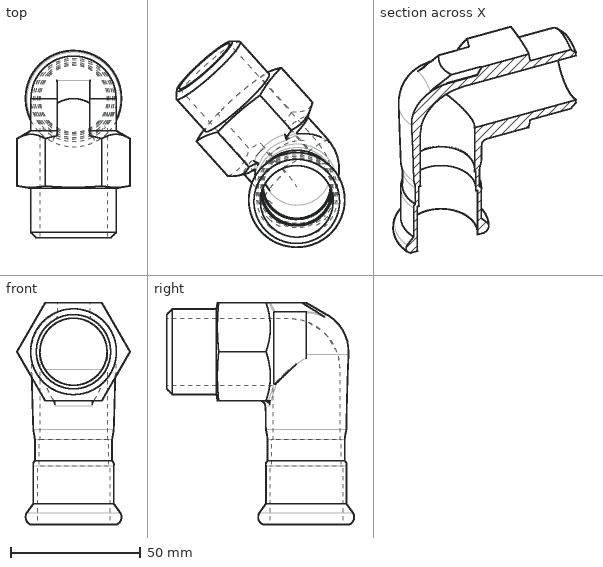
import math
import cadquery as cq


body_radius = 33.0 / 2
hex_across_flats = 38.0
hex_start = 12.4
hex_end = 34.8
spigot_end = 54.0
spigot_radius = 33.25 / 2
spigot_tip_radius = 28.8 / 2
bore_radius = 26.0 / 2
hex_back_chamfer_angle = math.radians(30.0)
hex_front_chamfer_angle = math.radians(10.0)

rib_width = 12.5
rib_nose_angle = math.radians(30.0)
root_fillet = 0.5
hex_bottom_fillet = 2.0

body_top_z = -1.04
body_bottom_z = -30.1
neck_top_z = -34.0
ring_top_z = -42.3
socket_top_z = -44.1
step_arc_inset = 0.2
step_arc_rise = 1.3
bead_top_z = -58.9
bead_crown_z = -62.3
bottom_z = -67.0
body_bottom_radius = 31.3 / 2
neck_radius = 30.0 / 2
socket_radius = 31.3 / 2
bead_radius = 37.28 / 2
bead_shoulder_radius = 18.1
bead_widest_z = -64.2
bead_foot_radius = 16.6
neck_bore_radius = 27.0 / 2
socket_bore_radius = 28.2 / 2
bore_bend_offset = 6.75

trim_margin = 5.0
pick_margin = 0.5

hex_flat_radius = hex_across_flats / 2
hex_corner_radius = hex_flat_radius / math.cos(math.pi / 6)
body_top_radius = math.sqrt(body_radius**2 - body_top_z**2)
hex_flat_back = hex_start + (hex_flat_radius - body_radius) * math.tan(hex_back_chamfer_angle)
rib_nose_y = hex_flat_radius * math.sin(rib_nose_angle) * math.cos(rib_nose_angle)
trim_radius = hex_corner_radius + trim_margin


def y_rod(radius, start, end):
    """Cylinder about the Y axis between two distances toward -Y."""
    rod = cq.Workplane("XZ").workplane(offset=start).circle(radius)
    return rod.extrude(end - start)


def z_rod(radius, bottom, top):
    """Cylinder about the Z axis."""
    return cq.Workplane("XY").workplane(offset=bottom).circle(radius).extrude(top - bottom)


def y_turned(points):
    """Solid turned about the Y axis from (radius, distance toward -Y) points."""
    profile = cq.Workplane("XY").polyline([(radius, -distance) for radius, distance in points])
    return profile.close().revolve(360, (0, 0, 0), (0, 1, 0))


def make_vertical_body():
    """Tapered cast body below the elbow dome."""
    profile = cq.Workplane("XZ").polyline([
        (0, 0),
        (body_radius, 0),
        (body_top_radius, body_top_z),
        (body_bottom_radius, body_bottom_z),
        (0, body_bottom_z),
    ])
    return profile.close().revolve(360, (0, 0, 0), (0, 1, 0))


def make_press_socket():
    """Neck, step ring, socket wall and rolled bead at the lower end."""
    profile = (
        cq.Workplane("XZ")
        .moveTo(0, body_bottom_z)
        .lineTo(body_bottom_radius, body_bottom_z)
        .lineTo(neck_radius, neck_top_z)
        .lineTo(neck_radius, ring_top_z)
        .threePointArc(
            (socket_radius - step_arc_inset, socket_top_z + step_arc_rise),
            (socket_radius, socket_top_z),
        )
        .lineTo(socket_radius, bead_top_z)
        .lineTo(bead_shoulder_radius, bead_crown_z)
        .threePointArc((bead_radius, bead_widest_z), (bead_foot_radius, bottom_z))
        .lineTo(0, bottom_z)
        .close()
    )
    return profile.revolve(360, (0, 0, 0), (0, 1, 0))


def make_hexagon():
    """Hexagon with a turned chamfer at each end."""
    hexagon = (
        cq.Workplane("XZ")
        .workplane(offset=hex_start)
        .polygon(6, 2 * hex_corner_radius)
        .extrude(hex_end - hex_start)
    )
    back_rise = (trim_radius - body_radius) * math.tan(hex_back_chamfer_angle)
    front_drop = (trim_radius - spigot_radius) * math.tan(hex_front_chamfer_angle)
    return hexagon.intersect(y_turned([
        (0, hex_start),
        (body_radius, hex_start),
        (trim_radius, hex_start + back_rise),
        (trim_radius, hex_end - front_drop),
        (spigot_radius, hex_end),
        (0, hex_end),
    ]))


def make_rib():
    """Rib continuing the top flat of the hexagon, with a conical nose over the dome."""
    rib_start = -(hex_start + hex_end) / 2
    rib = cq.Workplane("XY", origin=(0, rib_start, 0)).box(
        rib_width, rib_nose_y - rib_start, hex_flat_radius, centered=(True, False, False)
    )
    nose_length = hex_flat_radius / math.tan(rib_nose_angle)
    nose_setback = (trim_radius - hex_flat_radius) / math.tan(rib_nose_angle)
    return rib.intersect(y_turned([
        (0, -nose_length),
        (trim_radius, nose_setback),
        (trim_radius, hex_end),
        (0, hex_end),
    ]))


def make_spigot():
    """Spigot with a 45 degree lead chamfer."""
    tip_chamfer = spigot_radius - spigot_tip_radius
    return y_rod(spigot_radius, 0, spigot_end).faces("<Y").chamfer(tip_chamfer)


def make_bores():
    """Two straight bores joined by a rounded bend, stepped wider at the neck and socket."""
    bend_half_chord = math.sqrt(bore_radius**2 - bore_bend_offset**2)
    bend = (
        cq.Workplane("XY", origin=(0, 0, -bore_bend_offset))
        .moveTo(-bend_half_chord, -bore_bend_offset)
        .threePointArc((0, bore_radius), (bend_half_chord, -bore_bend_offset))
        .close()
        .revolve(90, (0, -bore_bend_offset, 0), (1, -bore_bend_offset, 0))
    )
    bores = y_rod(bore_radius, bore_bend_offset, spigot_end)
    bores = bores.union(z_rod(bore_radius, bottom_z, -bore_bend_offset))
    bores = bores.union(bend)
    bores = bores.union(z_rod(neck_bore_radius, bottom_z, neck_top_z))
    return bores.union(z_rod(socket_bore_radius, bottom_z, socket_top_z))


def fillet_roots(casting):
    """Round the rib and hexagon roots, and the hexagon roots on the vertical body."""
    box = cq.selectors.BoxSelector
    rib_and_hex_roots = box(
        (-body_radius, -hex_flat_back, rib_width / 2),
        (body_radius, -pick_margin, hex_flat_radius - pick_margin),
    )
    side_roots = box(
        (-body_radius, -hex_flat_back, -hex_flat_radius + pick_margin),
        (body_radius, -hex_start, -rib_width),
    )
    bottom_root = box(
        (-rib_width, -body_radius, -hex_flat_radius - pick_margin),
        (rib_width, -hex_flat_back - pick_margin, -hex_flat_radius + pick_margin),
    )
    casting = casting.edges(rib_and_hex_roots).fillet(root_fillet)
    sides_rounded = casting.edges(side_roots).fillet(root_fillet)
    bottom_rounded = casting.edges(bottom_root).fillet(hex_bottom_fillet)
    return sides_rounded.union(bottom_rounded)


def make_casting():
    """Elbow dome, both cast bodies, hexagon and rib, with rounded roots."""
    casting = cq.Workplane("XY").sphere(body_radius)
    casting = casting.union(y_rod(body_radius, 0, hex_start))
    casting = casting.union(make_vertical_body())
    casting = casting.union(make_hexagon())
    casting = casting.union(make_rib())
    return fillet_roots(casting)


result = make_casting()
result = result.union(make_press_socket())
result = result.union(make_spigot())
result = result.cut(make_bores())